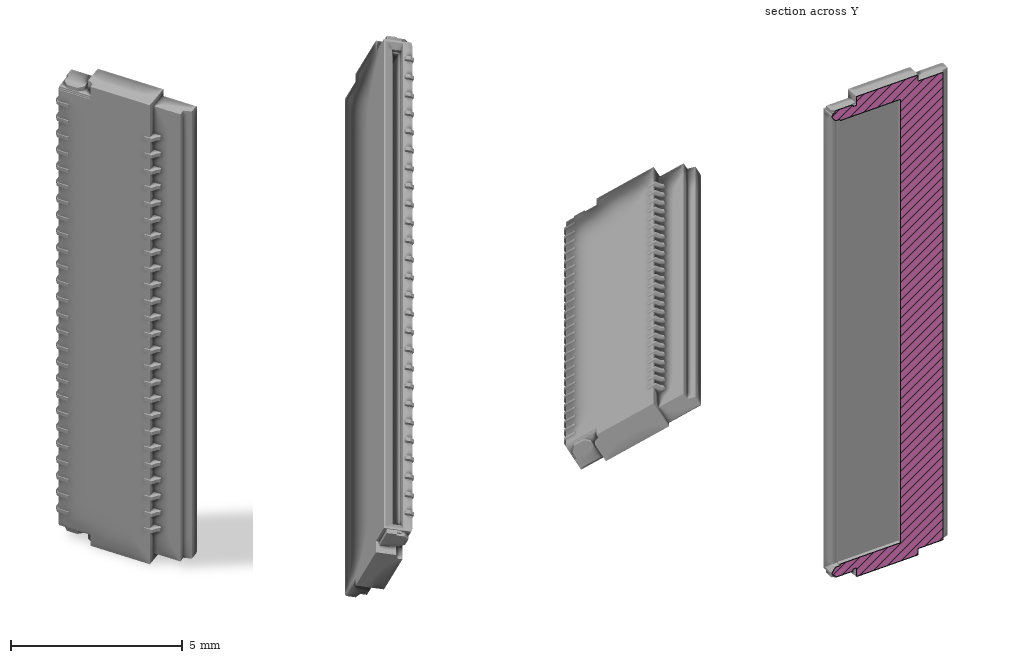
import cadquery as cq

back_y = 0.9
front_y = 0.03
total_length = 16.9
wide_start_x = 0.96
wide_end_x = 3.11

mouth_x = 0.12
mouth_half = 8.08
front_plate_y = 0.05
front_plate_half = 7.98
front_step_y = 0.07
front_step_half = 8.03
shoulder_x = 1.17
shoulder_low_y = 0.19
shoulder_high_y = 0.29

slot_low_y = 0.32
slot_high_y = 0.6
slot_half = 7.85
slot_depth = 0.27
inner_slot_low_y = 0.37
inner_slot_high_y = 0.55
inner_slot_half = 7.79
inner_slot_depth = 2.37
funnel_high_y = 0.85
funnel_half = 8.01
funnel_depth = 0.14

arm_x = 0.15
arm_half = 8.21
arm_high_y = 0.8
arm_neck_y = 0.49
arm_low_y = 0.08
arm_neck_start_x = 0.22
arm_neck_end_x = 0.86
arm_chamfer = 0.15
arm_step_low_y = 0.35
arm_step_half = 8.15

latch_end_x = 4.2
latch_step_x = 3.97
latch_low_y = 0.3
latch_step_y = 0.5
latch_tip_y = 0.57
latch_half = 8.23
latch_back_chamfer = 0.03

pitch = 0.6
contact_width = 0.12
mouth_contact_count = 26
latch_contact_count = 25


def box(x0, x1, y0, y1, half_length):
    """Box centred on Z = 0, extending half_length both ways."""
    size = (x1 - x0, y1 - y0, 2 * half_length)
    return cq.Workplane("XY").box(*size, centered=(False, False, True)).translate((x0, y0, 0))


def prism(points, half_length):
    """Closed XY outline extruded symmetrically about Z = 0."""
    return cq.Workplane("XY").polyline(points).close().extrude(half_length, both=True)


def make_housing():
    """Full-length body with a narrower mouth whose front end edges are stepped."""
    wide = prism(
        [
            (wide_start_x, back_y),
            (wide_start_x, shoulder_high_y),
            (shoulder_x, shoulder_low_y),
            (shoulder_x, front_y),
            (wide_end_x, front_y),
            (wide_end_x, back_y),
        ],
        total_length / 2,
    )
    mouth = box(mouth_x, shoulder_x, front_step_y, back_y, mouth_half)
    front_step = box(mouth_x, shoulder_x, front_plate_y, front_step_y, front_step_half)
    front_plate = box(mouth_x, shoulder_x, front_y, front_plate_y, front_plate_half)
    return wide.union(mouth).union(front_step).union(front_plate)


def make_arms():
    """Arms at both ends with clipped front corners, and a lower step beside their necks."""
    arms = prism(
        [
            (arm_x, arm_high_y),
            (arm_x, arm_neck_y),
            (arm_neck_start_x, arm_neck_y),
            (arm_neck_start_x, arm_low_y + arm_chamfer),
            (arm_neck_start_x + arm_chamfer, arm_low_y),
            (arm_neck_end_x - arm_chamfer, arm_low_y),
            (arm_neck_end_x, arm_low_y + arm_chamfer),
            (arm_neck_end_x, arm_neck_y),
            (wide_start_x, arm_neck_y),
            (wide_start_x, arm_high_y),
        ],
        arm_half,
    )
    side_steps = box(arm_x, wide_start_x, arm_step_low_y, arm_high_y, arm_step_half)
    return arms.union(side_steps)


def make_slot():
    """Stepped slot with a funnel that tapers on the back and at both ends."""
    slot = box(mouth_x, mouth_x + slot_depth, slot_low_y, slot_high_y, slot_half)
    inner_slot = box(
        mouth_x, mouth_x + inner_slot_depth, inner_slot_low_y, inner_slot_high_y, inner_slot_half
    )
    funnel = (
        cq.Workplane("YZ", origin=(mouth_x, 0, 0))
        .center((slot_low_y + funnel_high_y) / 2, 0)
        .rect(funnel_high_y - slot_low_y, 2 * funnel_half)
        .workplane(offset=funnel_depth)
        .center((slot_high_y - funnel_high_y) / 2, 0)
        .rect(slot_high_y - slot_low_y, 2 * slot_half)
        .loft(ruled=True)
    )
    return slot.union(inner_slot).union(funnel)


def make_latch():
    """Latch bar with an undercut tip and chamfered back ends."""
    bar = prism(
        [
            (wide_end_x, latch_low_y),
            (latch_step_x, latch_low_y),
            (latch_step_x, latch_step_y),
            (latch_end_x, latch_tip_y),
            (latch_end_x, back_y),
            (wide_end_x, back_y),
        ],
        latch_half,
    )
    return bar.faces(">Y").edges("<Z or >Z").chamfer(latch_back_chamfer)


def contact_row(outline, count):
    """Row of equal contacts at the common pitch, centred on Z = 0."""
    contact = prism(outline, contact_width / 2)
    positions = [(index - (count - 1) / 2) * pitch for index in range(count)]
    return [contact.translate((0, 0, z)) for z in positions]


mouth_contact_outline = [
    (0, 0.27),
    (0, 0.12),
    (0.08, 0),
    (0.45, 0),
    (0.45, 0.1),
    (0.24, 0.1),
    (0.24, 0.27),
]
latch_contact_outline = [
    (2.94, 0.1),
    (2.94, 0),
    (3.2, 0),
    (3.28, 0.14),
    (3.36, 0.2),
    (3.36, 0.27),
    (3.08, 0.27),
    (3.08, 0.1),
]

result = make_housing().union(make_arms()).cut(make_slot()).union(make_latch())
contacts = contact_row(mouth_contact_outline, mouth_contact_count)
contacts += contact_row(latch_contact_outline, latch_contact_count)
for contact in contacts:
    result = result.union(contact)